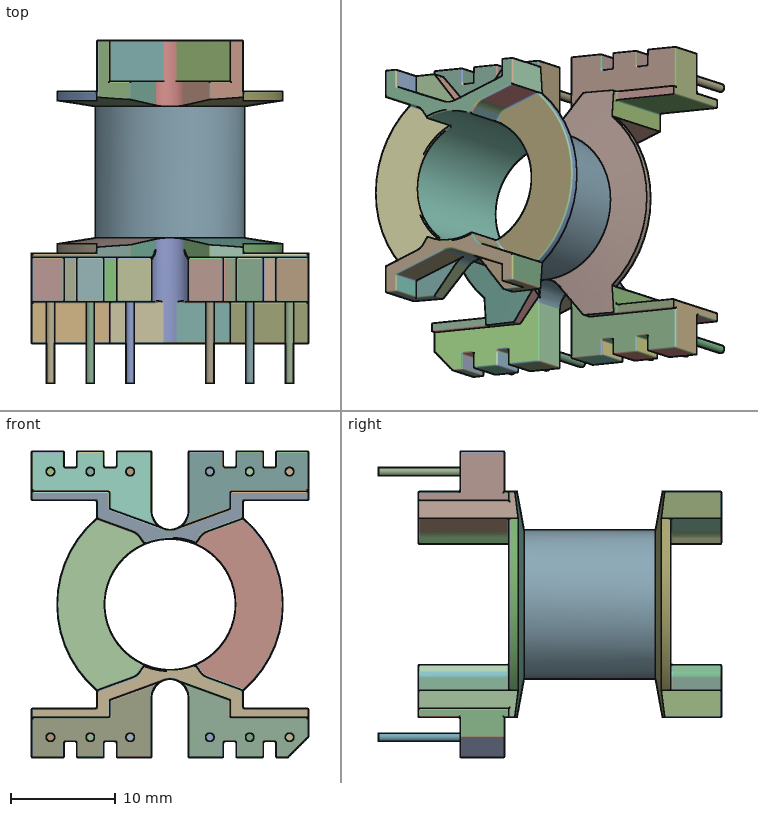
import cadquery as cq
import math

BORE_RADIUS = 6.25
TUBE_RADIUS = 7.15
FLANGE_RADIUS = 10.8
FLANGE_OUTER_Y = 7.75
FLANGE_RIM_Y = 6.85
FLANGE_ROOT_Y = 6.28

LUG_HALF_WIDTH = 7.0
TROUGH_HALF_WIDTH = 5.75
ARM_TOP_Z = FLANGE_RADIUS
ARM_SLOPE = math.radians(20)
ARM_LOWER_CORNER_Z = math.sqrt(FLANGE_RADIUS**2 - LUG_HALF_WIDTH**2)
BORE_LIP_HALF_WIDTH = 2.42
BORE_LIP_SLOPE = math.radians(56)
BORE_LIP_FILLET = 1.5
REAR_ARM_END_Y = 12.6
FRONT_ARM_END_Y = -16.4

NOTCH_RADIUS = 1.75
LUG_NOTCH_SLOPE = math.radians(51)
REAR_WEB_Y = 8.7

BLOCK_HALF_LENGTH = 13.25
BLOCK_TOP_Z = 14.65
BLOCK_BACK_Y = -8.15
BLOCK_FRONT_Y = -12.4
SHELF_BOTTOM_Z = 9.95
CORNER_CHAMFER = 2.0
PIN_PITCH = 3.81
PIN_Z = 12.7
PIN_DIAMETER = 0.8
PIN_END_Y = -20.2
PINS_PER_BLOCK = 3
WIRE_SLOT_PITCHES = (1.5, 2.5)
WIRE_SLOT_WIDTH = 1.2
WIRE_SLOT_BOTTOM_Z = 13.1

EDGE_RADIUS = 0.15
TOLERANCE = 0.01

NOTCH_CENTER_Z = TUBE_RADIUS + NOTCH_RADIUS


def notch_point(slope):
    """Point of the notch arc where its tangent rises at the given slope."""
    return (NOTCH_RADIUS * math.sin(slope), NOTCH_CENTER_Z - NOTCH_RADIUS * math.cos(slope))


def rise_to_x(start, slope, x):
    """Point at x on the line that leaves start at the given slope."""
    return (x, start[1] + (x - start[0]) * math.tan(slope))


def rise_to_z(start, slope, z):
    """Point at height z on the line that leaves start at the given slope."""
    return (start[0] + (z - start[1]) / math.tan(slope), z)


def bore_point(x):
    """Point of the upper half of the bore at x."""
    return (x, math.sqrt(BORE_RADIUS**2 - x**2))


def between_y(sketch, y_from, y_to):
    """Extrude a profile drawn on the XZ plane between two Y positions."""
    low = min(y_from, y_to)
    high = max(y_from, y_to)
    return sketch.extrude(-(high - low)).translate((0, low, 0))


def on_all_quarters(quarter):
    """Mirror a body of the +X +Z quarter to the other three quarters."""
    half = quarter.union(quarter.mirror("YZ"))
    return half.union(half.mirror("XY"))


def arm_underside():
    """Open +X half profile: along the bore, up the lip and out along the sloped plate."""
    lip = bore_point(BORE_LIP_HALF_WIDTH)
    lug_corner = (LUG_HALF_WIDTH, ARM_LOWER_CORNER_Z)
    lip_tan = math.tan(BORE_LIP_SLOPE)
    arm_tan = math.tan(ARM_SLOPE)
    bend_x = (lug_corner[1] - lip[1] + lip[0] * lip_tan - lug_corner[0] * arm_tan) / (lip_tan - arm_tan)
    bend = rise_to_x(lip, BORE_LIP_SLOPE, bend_x)
    setback = BORE_LIP_FILLET * math.tan((BORE_LIP_SLOPE - ARM_SLOPE) / 2)
    fillet_start = rise_to_x(lip, BORE_LIP_SLOPE, bend_x - setback * math.cos(BORE_LIP_SLOPE))
    fillet_end = rise_to_x(bend, ARM_SLOPE, bend_x + setback * math.cos(ARM_SLOPE))
    return (
        cq.Workplane("XZ")
        .moveTo(0, BORE_RADIUS)
        .threePointArc(bore_point(BORE_LIP_HALF_WIDTH / 2), lip)
        .lineTo(*fillet_start)
        .tangentArcPoint(fillet_end, relative=False)
        .lineTo(*lug_corner)
    )


def close_along_notch(profile, slope):
    """Close a half profile down the notch arc from the given slope to the middle."""
    return (
        profile.lineTo(*notch_point(slope))
        .threePointArc(notch_point(slope / 2), (0, TUBE_RADIUS))
        .close()
    )


def add_trough(profile):
    """Step down into the trough and follow the upper face of the sloped plate inward."""
    corner = rise_to_x(notch_point(ARM_SLOPE), ARM_SLOPE, TROUGH_HALF_WIDTH)
    profile = profile.lineTo(TROUGH_HALF_WIDTH, ARM_TOP_Z).lineTo(*corner)
    return close_along_notch(profile, ARM_SLOPE)


def front_arm_profile():
    profile = (
        arm_underside()
        .lineTo(LUG_HALF_WIDTH, SHELF_BOTTOM_Z)
        .lineTo(BLOCK_HALF_LENGTH, SHELF_BOTTOM_Z)
        .lineTo(BLOCK_HALF_LENGTH, ARM_TOP_Z)
    )
    return add_trough(profile)


def rear_arm_profile():
    return add_trough(arm_underside().lineTo(LUG_HALF_WIDTH, ARM_TOP_Z))


def web_profile():
    lug_top = rise_to_z(notch_point(LUG_NOTCH_SLOPE), LUG_NOTCH_SLOPE, ARM_TOP_Z)
    profile = arm_underside().lineTo(LUG_HALF_WIDTH, ARM_TOP_Z).lineTo(*lug_top)
    return close_along_notch(profile, LUG_NOTCH_SLOPE)


def block_profile():
    trough_corner = rise_to_x(notch_point(ARM_SLOPE), ARM_SLOPE, TROUGH_HALF_WIDTH)
    arc_middle = notch_point((ARM_SLOPE + math.pi / 2) / 2)
    return (
        cq.Workplane("XZ")
        .moveTo(NOTCH_RADIUS, NOTCH_CENTER_Z)
        .threePointArc(arc_middle, notch_point(ARM_SLOPE))
        .lineTo(*trough_corner)
        .lineTo(TROUGH_HALF_WIDTH, ARM_TOP_Z)
        .lineTo(BLOCK_HALF_LENGTH, ARM_TOP_Z)
        .lineTo(BLOCK_HALF_LENGTH, BLOCK_TOP_Z)
        .lineTo(NOTCH_RADIUS, BLOCK_TOP_Z)
        .close()
    )


def spool():
    """Tube with two flanges, their taper carried on out to the lug corners."""
    lug_reach = math.hypot(LUG_HALF_WIDTH, ARM_TOP_Z)
    taper = (FLANGE_RIM_Y - FLANGE_ROOT_Y) / (FLANGE_RADIUS - TUBE_RADIUS)
    reach_y = FLANGE_ROOT_Y + taper * (lug_reach - TUBE_RADIUS)
    body = (
        cq.Workplane("XY")
        .moveTo(BORE_RADIUS, -FLANGE_OUTER_Y)
        .lineTo(lug_reach, -FLANGE_OUTER_Y)
        .lineTo(lug_reach, -reach_y)
        .lineTo(TUBE_RADIUS, -FLANGE_ROOT_Y)
        .lineTo(TUBE_RADIUS, FLANGE_ROOT_Y)
        .lineTo(lug_reach, reach_y)
        .lineTo(lug_reach, FLANGE_OUTER_Y)
        .lineTo(BORE_RADIUS, FLANGE_OUTER_Y)
        .close()
        .revolve(360, (0, 0, 0), (0, 1, 0))
    )
    span = (-FLANGE_OUTER_Y, FLANGE_OUTER_Y)
    disc = between_y(cq.Workplane("XZ").circle(FLANGE_RADIUS), *span)
    lugs = between_y(cq.Workplane("XZ").rect(2 * LUG_HALF_WIDTH, 2 * ARM_TOP_Z), *span)
    outline = disc.union(lugs).cut(on_all_quarters(between_y(lug_notch_profile(), *span)))
    return body.intersect(outline)


def lug_notch_profile():
    """+X half of the opening between two lugs."""
    lug_top = rise_to_z(notch_point(LUG_NOTCH_SLOPE), LUG_NOTCH_SLOPE, ARM_TOP_Z)
    profile = cq.Workplane("XZ").moveTo(0, ARM_TOP_Z).lineTo(*lug_top)
    return close_along_notch(profile, LUG_NOTCH_SLOPE)


def terminal_block():
    """+X +Z terminal block with its wire slots."""
    block = between_y(block_profile(), BLOCK_FRONT_Y, BLOCK_BACK_Y)
    slot_height = BLOCK_TOP_Z - WIRE_SLOT_BOTTOM_Z
    for pitches in WIRE_SLOT_PITCHES:
        slot = cq.Workplane("XZ").center(pitches * PIN_PITCH, WIRE_SLOT_BOTTOM_Z + slot_height / 2)
        slot = slot.rect(WIRE_SLOT_WIDTH, slot_height)
        block = block.cut(between_y(slot, BLOCK_FRONT_Y, BLOCK_BACK_Y))
    return block


def pins():
    centers = [(count * PIN_PITCH, PIN_Z) for count in range(1, PINS_PER_BLOCK + 1)]
    row = cq.Workplane("XZ").pushPoints(centers).circle(PIN_DIAMETER / 2)
    return on_all_quarters(between_y(row, PIN_END_Y, BLOCK_FRONT_Y))


def corner_cut():
    """Orientation chamfer at the +X -Z corner of the lower terminal block."""
    corner = (
        cq.Workplane("XZ")
        .moveTo(BLOCK_HALF_LENGTH, -BLOCK_TOP_Z)
        .lineTo(BLOCK_HALF_LENGTH - CORNER_CHAMFER, -BLOCK_TOP_Z)
        .lineTo(BLOCK_HALF_LENGTH, -BLOCK_TOP_Z + CORNER_CHAMFER)
        .close()
    )
    return between_y(corner, BLOCK_FRONT_Y, BLOCK_BACK_Y)


def lies_at(edge, y):
    box = edge.BoundingBox()
    return abs(box.ymin - y) < TOLERANCE and abs(box.ymax - y) < TOLERANCE


def runs_along_y(edge):
    return edge.geomType() == "LINE" and abs(edge.tangentAt(0).y) > 1 - TOLERANCE


def offset_x(edge):
    """Distance of an edge's middle from the YZ plane."""
    return abs(edge.Center().x)


def offset_z(edge):
    """Distance of an edge's middle from the XY plane."""
    return abs(edge.Center().z)


def is_shelf_root(edge):
    """Inner corner between a front lug side and the back of its shelf."""
    upright = abs(offset_x(edge) - LUG_HALF_WIDTH) < TOLERANCE and offset_z(edge) > SHELF_BOTTOM_Z
    return lies_at(edge, -FLANGE_OUTER_Y) and upright


def is_rear_trough_rim(edge):
    """Upper edges around the rear troughs and on top of the rear web."""
    on_top = abs(offset_z(edge) - ARM_TOP_Z) < TOLERANCE and offset_x(edge) < TROUGH_HALF_WIDTH + TOLERANCE
    in_rear = edge.Center().y > 0
    return on_top and in_rear and (runs_along_y(edge) or lies_at(edge, REAR_WEB_Y))


def is_lengthwise_corner(edge):
    """Corners of the arm, lug and block outlines outside the notch arc."""
    above_arc = offset_z(edge) > NOTCH_CENTER_Z + TOLERANCE
    return runs_along_y(edge) and above_arc and not is_rear_trough_rim(edge)


def is_front_arm_end(edge):
    return lies_at(edge, FRONT_ARM_END_Y)


def is_block_front(edge):
    return lies_at(edge, BLOCK_FRONT_Y)


def is_block_back(edge):
    """Free back edges of a block, without its upright next to the notch."""
    notch_upright = offset_x(edge) < NOTCH_RADIUS + TOLERANCE
    above_arm = offset_z(edge) > ARM_TOP_Z + EDGE_RADIUS / 2
    return lies_at(edge, BLOCK_BACK_Y) and above_arm and not notch_upright


def is_front_flange_edge(edge):
    """Rim of the front flange and its inner corner with the arm undersides."""
    outside_bore = math.hypot(offset_x(edge), offset_z(edge)) > BORE_RADIUS
    return lies_at(edge, -FLANGE_OUTER_Y) and outside_bore and offset_z(edge) < NOTCH_CENTER_Z


def is_rear_arm_end(edge):
    return lies_at(edge, REAR_ARM_END_Y)


def is_rear_flange_edge(edge):
    return lies_at(edge, FLANGE_OUTER_Y)


def molded_body():
    """Spool, arms, webs and terminal blocks in one piece, with sharp edges."""
    front_arms = between_y(front_arm_profile(), FRONT_ARM_END_Y, -FLANGE_OUTER_Y)
    rear_arms = between_y(rear_arm_profile(), FLANGE_OUTER_Y, REAR_ARM_END_Y)
    front_web = between_y(web_profile(), BLOCK_BACK_Y, -FLANGE_OUTER_Y)
    rear_web = between_y(web_profile(), FLANGE_OUTER_Y, REAR_WEB_Y)
    body = spool()
    for quarter in (front_arms, rear_arms, front_web, rear_web, terminal_block()):
        body = body.union(on_all_quarters(quarter))
    return body.cut(corner_cut()).clean()


def round_edges(body):
    """Round the edges group by group, so that each group meets finished corners."""
    groups = (
        is_shelf_root,
        is_lengthwise_corner,
        is_front_arm_end,
        is_block_front,
        is_block_back,
        is_rear_trough_rim,
        is_front_flange_edge,
        is_rear_arm_end,
        is_rear_flange_edge,
    )
    for belongs in groups:
        chosen = [edge for edge in body.edges().vals() if belongs(edge)]
        body = body.newObject(chosen).fillet(EDGE_RADIUS)
    return body


result = round_edges(molded_body()).union(pins())